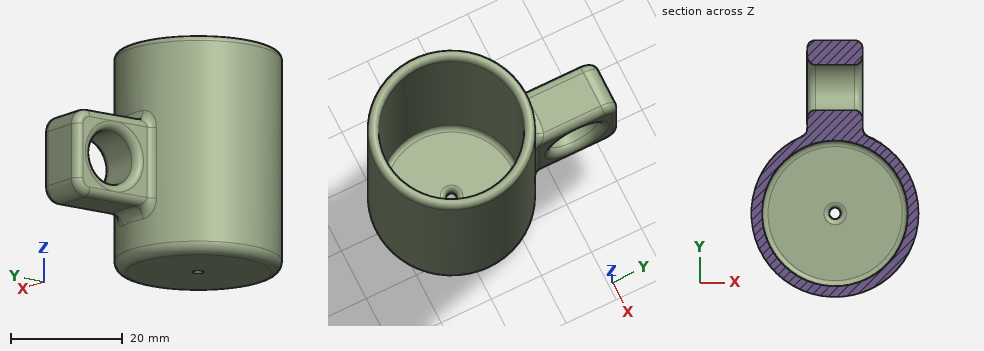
import cadquery as cq
import math

cup_diameter = 30.0
cup_height = 40.0
wall = 2.0
floor_thickness = 2.0
base_round = 2.0
bore_floor_round = 1.0

drain_diameter = 2.0
drain_round = 1.0

handle_width = 10.0
handle_height = 16.0
handle_end_y = 31.0
handle_mid_z = 17.0
handle_corner_radius = 3.0
handle_edge_round = 1.5
finger_hole_diameter = 10.0
finger_hole_y = 22.5
finger_hole_round = 1.5

root_fillet_ends = 2.0
root_fillet_sides = 1.5

cup_radius = cup_diameter / 2
bore_radius = cup_radius - wall
handle_start_y = cup_radius - 0.75 * wall
handle_length = handle_end_y - handle_start_y


def quarter_arc(sketch, center, radius, start_angle, end_angle):
    """Continue the outline along an arc about center; angles are in degrees."""

    def on_arc(angle):
        turn = math.radians(angle)
        return (center[0] + radius * math.cos(turn), center[1] + radius * math.sin(turn))

    return sketch.threePointArc(on_arc((start_angle + end_angle) / 2), on_arc(end_angle))


def make_cup():
    """Revolve the half section of the cup: floor, wall, full-round rim and drain."""
    drain_radius = drain_diameter / 2
    rim_radius = wall / 2
    rim_center = (cup_radius - rim_radius, cup_height - rim_radius)
    base_center = (cup_radius - base_round, base_round)
    floor_center = (bore_radius - bore_floor_round, floor_thickness + bore_floor_round)
    drain_center = (drain_radius + drain_round, floor_thickness - drain_round)

    section = cq.Workplane("XZ").moveTo(drain_radius, 0).lineTo(base_center[0], 0)
    section = quarter_arc(section, base_center, base_round, -90, 0)
    section = section.lineTo(cup_radius, rim_center[1])
    section = quarter_arc(section, rim_center, rim_radius, 0, 90)
    section = quarter_arc(section, rim_center, rim_radius, 90, 180)
    section = section.lineTo(bore_radius, floor_center[1])
    section = quarter_arc(section, floor_center, bore_floor_round, 0, -90)
    section = section.lineTo(drain_center[0], floor_thickness)
    section = quarter_arc(section, drain_center, drain_round, 90, 180)
    return section.close().revolve(360, (0, 0, 0), (0, 1, 0))


def make_handle():
    """Block with rounded corners, softened outer edges and a round-mouthed finger hole."""
    block = cq.Workplane("XY").box(handle_width, handle_length, handle_height)
    block = block.translate((0, handle_start_y + handle_length / 2, handle_mid_z))
    block = block.edges("|X and >Y").fillet(handle_corner_radius)
    block = block.faces("<X or >X").edges("not <Y").fillet(handle_edge_round)

    hole_radius = finger_hole_diameter / 2
    mouth_radius = hole_radius + finger_hole_round
    half_width = handle_width / 2
    bore_end = half_width - finger_hole_round
    cutter = cq.Workplane("XY").moveTo(-half_width, 0).lineTo(-half_width, mouth_radius)
    cutter = quarter_arc(cutter, (-bore_end, mouth_radius), finger_hole_round, 180, 270)
    cutter = cutter.lineTo(bore_end, hole_radius)
    cutter = quarter_arc(cutter, (bore_end, mouth_radius), finger_hole_round, -90, 0)
    cutter = cutter.lineTo(half_width, 0).close().revolve(360, (0, 0, 0), (1, 0, 0))
    return block.cut(cutter.translate((0, finger_hole_y, handle_mid_z)))


def is_root_edge(edge):
    """True for an edge of the joint between the handle and the cup's outer cylinder."""
    tolerance = 0.001
    sample_fractions = (0.0, 0.3, 0.6, 1.0)
    for fraction in sample_fractions:
        point = edge.positionAt(fraction)
        if point.y < handle_start_y / 2 or abs(math.hypot(point.x, point.y) - cup_radius) > tolerance:
            return False
    return abs(edge.Center().z - handle_mid_z) < handle_height / 2 + tolerance


def root_radius_at(point):
    """Root fillet radius: the end value above and below the handle, the side value beside it."""
    at_end = abs(point.z - handle_mid_z) > handle_height / 2 - handle_edge_round / 2
    return root_fillet_ends if at_end else root_fillet_sides


def join(cup, handle):
    """Fuse the parts and fillet the joint, blending between its two radii at the corners."""
    joined = cup.union(handle)
    fillet = cq.occ_impl.shapes.BRepFilletAPI_MakeFillet(joined.val().wrapped)
    root_edges = [edge for edge in joined.edges().vals() if is_root_edge(edge)]
    fillet.Add(root_fillet_sides, root_edges[0].wrapped)
    loop = 1
    for index in range(1, fillet.NbEdges(loop) + 1):
        edge = cq.Edge(fillet.Edge(loop, index))
        radii = [root_radius_at(edge.startPoint()), root_radius_at(edge.endPoint())]
        if edge.wrapped.Orientation().name == "TopAbs_REVERSED":
            radii.reverse()
        fillet.SetRadius(*radii, loop, index)
    return cq.Workplane(cq.Shape.cast(fillet.Shape()))


result = join(make_cup(), make_handle())